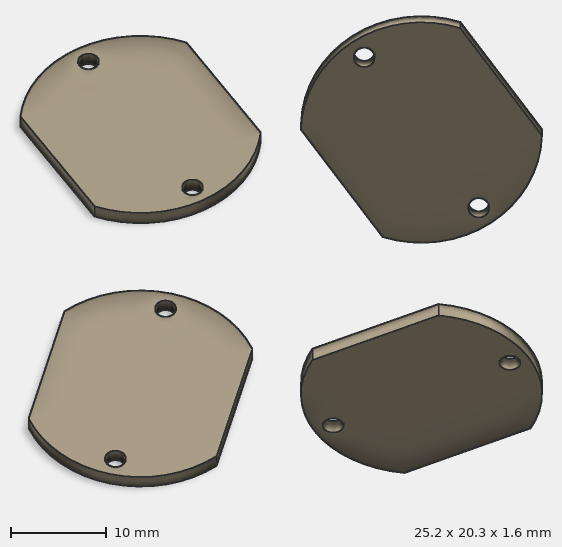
import cadquery as cq

disc_diameter = 25.25
width_across_flats = 20.33
thickness = 1.6
hole_diameter = 2.2
hole_spacing = 20.98


def flatted_disc():
    """Round plate trimmed by two parallel flats facing -Y and +Y."""
    disc = cq.Workplane("XY").circle(disc_diameter / 2).extrude(thickness)
    band = cq.Workplane("XY").rect(disc_diameter, width_across_flats).extrude(thickness)
    return disc.intersect(band)


def mounting_holes():
    """Two through-hole cutters, one near each rounded end."""
    centers = [(-hole_spacing / 2, 0), (hole_spacing / 2, 0)]
    return cq.Workplane("XY").pushPoints(centers).circle(hole_diameter / 2).extrude(thickness)


result = flatted_disc().cut(mounting_holes())